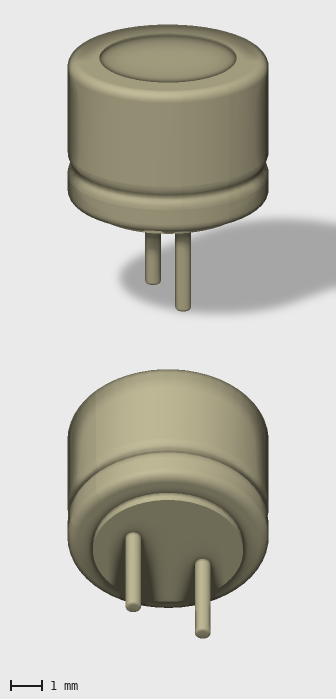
import cadquery as cq
import math

case_diameter = 6.3
case_top = 5.0
edge_radius = 0.3
marker_angle = 30.0

groove_height = 1.5
throat_diameter = 6.1
throat_height = 0.19
shoulder_height = 0.3

base_diameter = 4.7
base_height = 0.3

lid_diameter = 4.3
lid_thickness = 0.2
lid_recess = 0.1

pin_diameter = 0.5
pin_length = 3.0
pin_spacing = 2.5
pin_tip_radius = 0.1

case_radius = case_diameter / 2
throat_radius = throat_diameter / 2
throat_depth = case_radius - throat_radius
shoulder_radius = (shoulder_height**2 + throat_depth**2) / (2 * throat_depth)
shoulder_turn = math.asin(shoulder_height / shoulder_radius)
floor_radius = throat_height / 2 / math.sin(shoulder_turn)
groove_bottom_radius = throat_radius - floor_radius * (1 - math.cos(shoulder_turn))
lid_top = case_top - lid_recess
lid_bottom = lid_top - lid_thickness


def case_profile():
    """Half section of the case, with X as the radius and Y as the height."""
    flat_radius = case_radius - edge_radius
    arc_rise = edge_radius * math.sqrt(0.5)
    arc_middle = flat_radius + arc_rise
    groove_low = groove_height - throat_height / 2
    groove_high = groove_height + throat_height / 2
    shoulder_low = groove_low - shoulder_height
    shoulder_high = groove_high + shoulder_height
    half_height = shoulder_height / 2
    shoulder_middle = case_radius - shoulder_radius + math.sqrt(shoulder_radius**2 - half_height**2)
    return (
        cq.Workplane("XZ")
        .moveTo(0, base_height)
        .lineTo(flat_radius, base_height)
        .threePointArc(
            (arc_middle, base_height + edge_radius - arc_rise),
            (case_radius, base_height + edge_radius),
        )
        .lineTo(case_radius, shoulder_low)
        .threePointArc((shoulder_middle, shoulder_low + half_height), (throat_radius, groove_low))
        .threePointArc((groove_bottom_radius, groove_height), (throat_radius, groove_high))
        .threePointArc((shoulder_middle, shoulder_high - half_height), (case_radius, shoulder_high))
        .lineTo(case_radius, case_top - edge_radius)
        .threePointArc((arc_middle, case_top - edge_radius + arc_rise), (flat_radius, case_top))
        .lineTo(0, case_top)
        .close()
    )


def make_lid_disc(height):
    """Disc of the lid's diameter standing on the lid's underside."""
    return cq.Workplane("XY", origin=(0, 0, lid_bottom)).circle(lid_diameter / 2).extrude(height)


def make_case_sector(start_angle, sweep_angle):
    """Sector of the case, turned about Z from start_angle, with the lid seat cut out."""
    sector = case_profile().revolve(sweep_angle, (0, 0, 0), (0, -1, 0))
    sector = sector.rotate((0, 0, 0), (0, 0, 1), start_angle + sweep_angle)
    lid_seat = make_lid_disc(case_top - lid_bottom)
    return sector.cut(lid_seat)


def make_base():
    return cq.Workplane("XY").circle(base_diameter / 2).extrude(base_height)


def make_pin(x):
    """Round lead hanging from the base, with a rounded tip."""
    pin = cq.Workplane("XY").center(x, 0).circle(pin_diameter / 2).extrude(-pin_length)
    return pin.faces("<Z").edges().fillet(pin_tip_radius)


sleeve = make_case_sector(marker_angle / 2, 360 - marker_angle)
marker = make_case_sector(-marker_angle / 2, marker_angle)
lid = make_lid_disc(lid_thickness)
base = make_base()
pins = [make_pin(side * pin_spacing / 2) for side in (-1, 1)]

result = cq.Compound.makeCompound(
    [sleeve.val(), marker.val(), lid.val(), base.val(), *[pin.val() for pin in pins]]
)